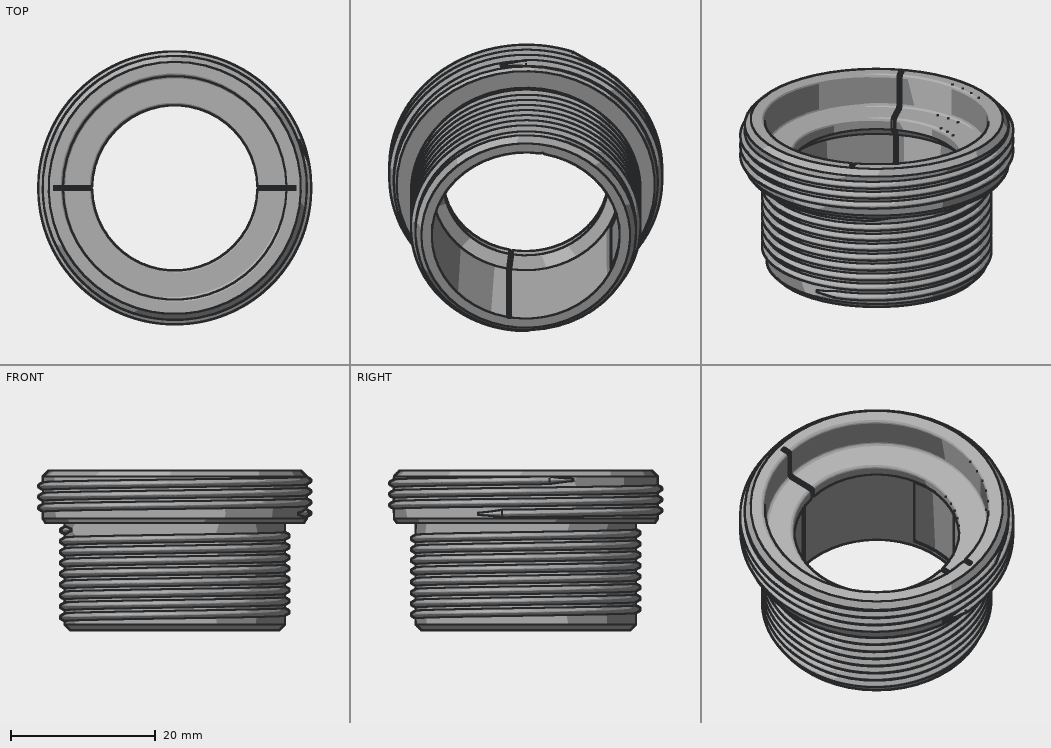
import cadquery as cq
import math

total_height = 22.1
thread_depth = 0.623

flange_diameter = 36.5
flange_height = 7.3
flange_top_chamfer = 0.83
flange_lower_chamfer_width = 0.4
flange_lower_chamfer_height = 0.6
flange_bottom = total_height - flange_height

body_diameter = 30.5
body_chamfer = 0.83

counterbore_radius = 15.45
counterbore_depth = 4.83
neck_radius = 11.4
neck_length = 1.65
bore_radius = 12.98
undercut_height = 1.4
edge_rounding = 0.5
counterbore_floor = total_height - counterbore_depth
neck_bottom = counterbore_floor - neck_length
undercut_bottom = neck_bottom - undercut_height

thread_pitch = 12.0 / 8
thread_half_width = 0.53
thread_root_overlap = 0.23
thread_tail_angle = 11.0
thread_tail_scale = 0.3
full_thread_extra_turn = 20.0 / 360.0
body_thread_turns = 8 + full_thread_extra_turn
body_thread_start_angle = 170.0
body_thread_start_z = 1.77
flange_thread_turns = 3 + full_thread_extra_turn
flange_thread_start_angle = -10.0
flange_thread_start_z = 16.15

groove_width = 0.55
groove_depth = 0.15
groove_end_radius = 16.68

panel_width = 7.0
panel_margin = 0.85
panel_depth = 0.15
panel_corner_radius = 0.3


def make_outer_solid():
    """Solid of revolution for the chamfered body and flange."""
    body_radius = body_diameter / 2
    flange_radius = flange_diameter / 2
    return (
        cq.Workplane("YZ")
        .moveTo(0, 0)
        .lineTo(body_radius - body_chamfer, 0)
        .lineTo(body_radius, body_chamfer)
        .lineTo(body_radius, flange_bottom)
        .lineTo(flange_radius - flange_lower_chamfer_width, flange_bottom)
        .lineTo(flange_radius, flange_bottom + flange_lower_chamfer_height)
        .lineTo(flange_radius, total_height - flange_top_chamfer)
        .lineTo(flange_radius - flange_top_chamfer, total_height)
        .lineTo(0, total_height)
        .close()
        .revolve(360, (0, 0, 0), (0, 1, 0))
    )


def trace_inner_wall(start):
    """Continue a radius-height outline down the inside wall to the bottom face."""
    diagonal = edge_rounding * (1 - math.sqrt(0.5))
    return (
        start.lineTo(counterbore_radius + edge_rounding, total_height)
        .threePointArc(
            (counterbore_radius + diagonal, total_height - diagonal),
            (counterbore_radius, total_height - edge_rounding),
        )
        .lineTo(counterbore_radius, counterbore_floor + edge_rounding)
        .threePointArc(
            (counterbore_radius - diagonal, counterbore_floor + diagonal),
            (counterbore_radius - edge_rounding, counterbore_floor),
        )
        .lineTo(neck_radius + edge_rounding, counterbore_floor)
        .threePointArc(
            (neck_radius + diagonal, counterbore_floor - diagonal),
            (neck_radius, counterbore_floor - edge_rounding),
        )
        .lineTo(neck_radius, neck_bottom)
        .lineTo(bore_radius, undercut_bottom)
        .lineTo(bore_radius, 0)
    )


def make_cavity():
    """Solid of revolution for the whole through opening."""
    start = cq.Workplane("XZ").moveTo(0, total_height)
    outline = trace_inner_wall(start).lineTo(0, 0).close()
    return outline.revolve(360, (0, 0, 0), (0, 1, 0))


def make_groove():
    """V-groove following the inside wall on the +X side."""
    path = trace_inner_wall(cq.Workplane("XZ").moveTo(groove_end_radius, total_height))
    half_width = groove_width / 2
    section_plane = cq.Plane((groove_end_radius, 0, total_height), (0, -1, 0), (-1, 0, 0))
    return (
        cq.Workplane(section_plane)
        .polyline([
            (-half_width, groove_depth),
            (-half_width, 0),
            (0, -groove_depth),
            (half_width, 0),
            (half_width, groove_depth),
        ])
        .close()
        .sweep(path, transition="right")
    )


def make_panel_recess():
    """Rounded rectangle sunk evenly into the lower bore wall."""
    panel_height = undercut_bottom - 2 * panel_margin
    reach = bore_radius + panel_depth
    block = (
        cq.Workplane("XZ", origin=(0, 0, undercut_bottom / 2))
        .rect(panel_width, panel_height)
        .extrude(-2 * reach)
        .edges("|Y")
        .fillet(panel_corner_radius)
    )
    return block.intersect(cq.Workplane("XY").circle(reach).extrude(total_height))


def thread_section(root_radius, angle, z, scale=1.0):
    """Ridge cross-section in the radial plane at an angle, shrunk by scale.

    The profile is close to a parabola, continued below the root surface so that
    the ridge crosses it cleanly.
    """
    turn = math.radians(angle)
    origin = (root_radius * math.cos(turn), root_radius * math.sin(turn), z)
    radial = (math.cos(turn), math.sin(turn), 0)
    forward = (-math.sin(turn), math.cos(turn), 0)
    height = scale * thread_depth
    buried_half_width = scale * thread_half_width * math.sqrt(1 + thread_root_overlap / height)
    return (
        cq.Workplane(cq.Plane(origin, radial, forward))
        .moveTo(-thread_root_overlap, -buried_half_width)
        .spline([(height, 0), (-thread_root_overlap, buried_half_width)], includeCurrent=True)
        .close()
    )


def make_thread_tail(root_radius, angle, z, direction):
    """Tapering run-out that follows the helix forward (+1) or backward (-1)."""
    tail_rise = thread_pitch * thread_tail_angle / 360
    full = thread_section(root_radius, angle, z).wire().val()
    tip = thread_section(
        root_radius,
        angle + direction * thread_tail_angle,
        z + direction * tail_rise,
        thread_tail_scale,
    ).wire().val()
    return cq.Workplane(cq.Solid.makeLoft([full, tip], True))


def make_thread(root_diameter, start_angle, start_z, turns):
    """Right-hand helical ridge with a tapering tail at each end."""
    root_radius = root_diameter / 2
    rise = turns * thread_pitch
    helix = cq.Wire.makeHelix(thread_pitch, rise, root_radius)
    ridge = thread_section(root_radius, 0, 0).sweep(cq.Workplane(helix), isFrenet=True)
    ridge = ridge.rotate((0, 0, 0), (0, 0, 1), start_angle).translate((0, 0, start_z))
    end_angle = start_angle + 360 * turns
    first_tail = make_thread_tail(root_radius, start_angle, start_z, -1)
    last_tail = make_thread_tail(root_radius, end_angle, start_z + rise, 1)
    return ridge.union(first_tail, clean=False).union(last_tail, clean=False)


result = make_outer_solid().cut(make_cavity())

for side_angle in (0, 180):
    groove = make_groove().rotate((0, 0, 0), (0, 0, 1), side_angle)
    result = result.cut(groove)

result = result.cut(make_panel_recess())

flange_thread = make_thread(
    flange_diameter, flange_thread_start_angle, flange_thread_start_z, flange_thread_turns
)
body_thread = make_thread(
    body_diameter, body_thread_start_angle, body_thread_start_z, body_thread_turns
)
result = result.union(flange_thread, clean=False)
result = result.union(body_thread, clean=False)